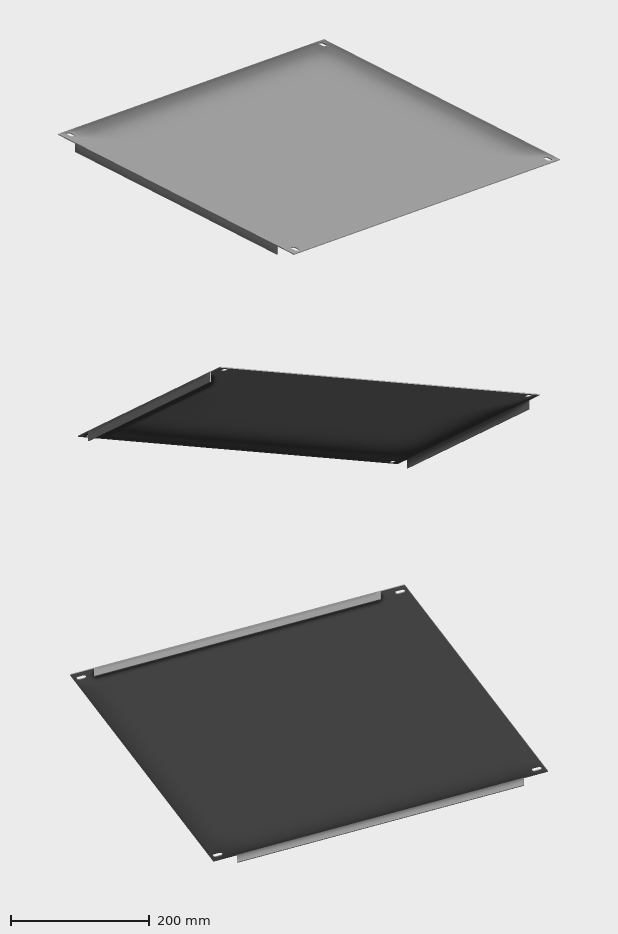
import cadquery as cq

panel_length = 530.0
panel_width = 500.0
overall_height = 15.0
sheet_thickness = 1.5

flange_length = 454.0
flange_thickness = sheet_thickness

slot_length = 15.0
slot_width = 7.0
slot_spacing_x = 505.0
slot_spacing_y = 475.0


def make_panel():
    """Flat sheet whose top face is at the overall height."""
    return (
        cq.Workplane("XY")
        .workplane(offset=overall_height - sheet_thickness)
        .rect(panel_length, panel_width)
        .extrude(sheet_thickness)
    )


def make_flange(side):
    """Downturned flange flush with the panel edge on the given Y side (-1 or +1)."""
    center_y = side * (panel_width - flange_thickness) / 2
    return (
        cq.Workplane("XY")
        .center(0, center_y)
        .rect(flange_length, flange_thickness)
        .extrude(overall_height)
    )


def make_slots():
    """Cutters for the four corner slots, running through the full height."""
    return (
        cq.Workplane("XY")
        .rect(slot_spacing_x, slot_spacing_y, forConstruction=True)
        .vertices()
        .slot2D(slot_length, slot_width)
        .extrude(overall_height)
    )


result = make_panel()
for side in (-1, 1):
    result = result.union(make_flange(side))
result = result.cut(make_slots())